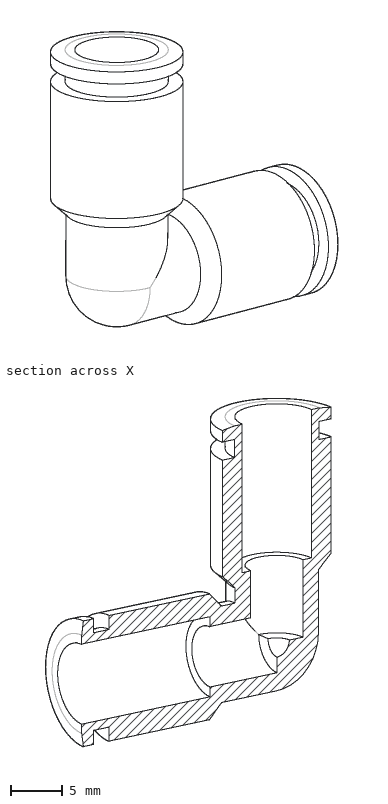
import cadquery as cq

body_radius = 6.5
neck_radius = 5.0
collar_stem_radius = 5.05
tube_socket_radius = 4.1
flow_bore_radius = 3.1
corner_pocket_radius = 1.5

overall_length = 29.75
leg_length = overall_length - body_radius
neck_end = 6.55
body_start = 7.97
body_end = 20.0
flange_start = 21.8
face_taper = 0.2
socket_floor = body_start


def vertical_leg():
    """Solid upright leg: neck, tapered shoulder, body and release collar."""
    profile = [
        (0, 0),
        (neck_radius, 0),
        (neck_radius, neck_end),
        (body_radius, body_start),
        (body_radius, body_end),
        (collar_stem_radius, body_end),
        (collar_stem_radius, flange_start),
        (body_radius, flange_start),
        (body_radius, leg_length - face_taper),
        (collar_stem_radius, leg_length),
        (0, leg_length),
    ]
    return cq.Workplane("XZ").polyline(profile).close().revolve(360, (0, 0), (0, 1))


def vertical_bore():
    """Flow bore from the corner, widening into the tube socket."""
    flow_bore = cq.Workplane("XY").circle(flow_bore_radius).extrude(leg_length)
    socket = (
        cq.Workplane("XY")
        .workplane(offset=socket_floor)
        .circle(tube_socket_radius)
        .extrude(leg_length - socket_floor)
    )
    return flow_bore.union(socket)


def turned_to_y(shape):
    """Swing a shape built along +Z so that it lies along +Y."""
    return shape.rotate((0, 0, 0), (1, 0, 0), -90)


elbow = (
    vertical_leg()
    .union(turned_to_y(vertical_leg()))
    .union(cq.Workplane("XY").sphere(neck_radius))
)

result = (
    elbow.cut(vertical_bore())
    .cut(turned_to_y(vertical_bore()))
    .cut(cq.Workplane("XY").sphere(corner_pocket_radius))
)